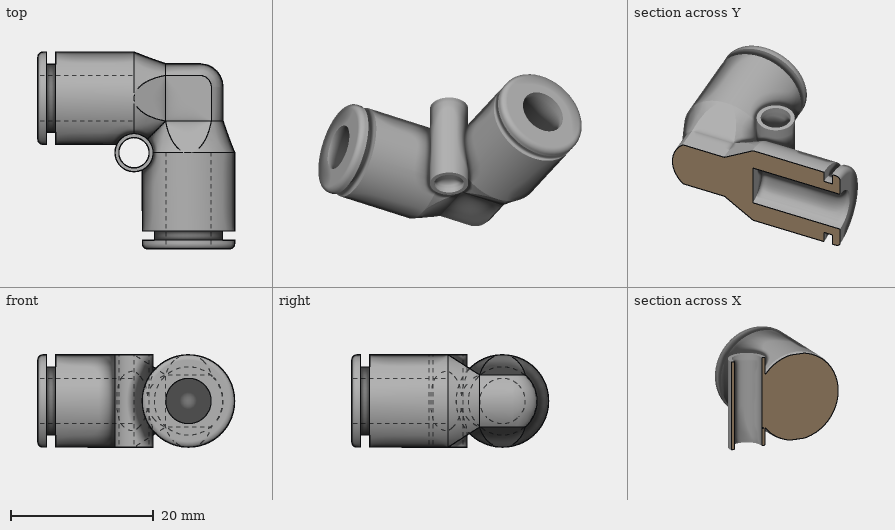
import cadquery as cq


body_diameter = 12.95
overall_length = 27.56
body_radius = body_diameter / 2
arm_length = overall_length - body_radius
lip_thickness = 1.25
lip_fillet = 0.75
neck_length = 1.25
neck_radius = 4.775
body_start = 7.62
cone_end = 3.2
bore_radius = 3.175

core_radius = 4.85
flat_half_width = 3.2
flat_height = (core_radius**2 - flat_half_width**2) ** 0.5
bend_center = 1.55

sleeve_center = (-body_start, -body_start)
sleeve_outer_radius = 2.67
sleeve_inner_radius = 2.1


def revolved_arm():
    """Core, cone, body, neck and lip of the arm along -X."""
    lip_start = arm_length - lip_thickness
    body_end = lip_start - neck_length
    profile = (
        cq.Workplane("XY")
        .moveTo(bend_center, 0)
        .lineTo(bend_center, core_radius)
        .lineTo(-cone_end, core_radius)
        .lineTo(-body_start, body_radius)
        .lineTo(-body_end, body_radius)
        .lineTo(-body_end, neck_radius)
        .lineTo(-lip_start, neck_radius)
        .lineTo(-lip_start, body_radius)
        .lineTo(-arm_length, body_radius)
        .lineTo(-arm_length, 0)
        .close()
    )
    arm = profile.revolve(360, (0, 0, 0), (1, 0, 0))
    return arm.faces("<X").edges().fillet(lip_fillet)


def flat_envelope():
    """Prism along Y that flattens the core and slopes out to the full body height."""
    upper_outline = [
        (core_radius, flat_height),
        (-cone_end, flat_height),
        (-body_start, body_radius),
        (-arm_length, body_radius),
    ]
    lower_outline = [(x, -z) for x, z in reversed(upper_outline)]
    return (
        cq.Workplane("XZ")
        .polyline(upper_outline + lower_outline)
        .close()
        .extrude(body_radius, both=True)
    )


def swap_x_and_y(shape):
    """Turn the arm along -X into the arm along -Y."""
    return shape.rotate((0, 0, 0), (1, 1, 0), 180)


def bend():
    """Rounded outer corner: the outer part of the core section swung a quarter turn."""
    section = (
        cq.Workplane("YZ", origin=(bend_center, 0, 0))
        .moveTo(bend_center, -flat_height)
        .lineTo(flat_half_width, -flat_height)
        .threePointArc((core_radius, 0), (flat_half_width, flat_height))
        .lineTo(bend_center, flat_height)
        .close()
    )
    return section.revolve(90, (bend_center, 0, 0), (bend_center, -1, 0))


def bore():
    """Blind tube bore of the arm along -X, ending where the body meets the cone."""
    return (
        cq.Workplane("YZ", origin=(-arm_length, 0, 0))
        .circle(bore_radius)
        .extrude(arm_length - body_start)
    )


def sleeve(radius):
    """Upright cylinder on the sleeve axis, as tall as the bodies."""
    return (
        cq.Workplane("XY", origin=(0, 0, -body_radius))
        .center(*sleeve_center)
        .circle(radius)
        .extrude(body_diameter)
    )


arm_x = revolved_arm().intersect(flat_envelope())
result = arm_x.union(swap_x_and_y(arm_x)).union(bend())
result = result.union(sleeve(sleeve_outer_radius))
result = result.cut(bore()).cut(swap_x_and_y(bore()))
result = result.cut(sleeve(sleeve_inner_radius))